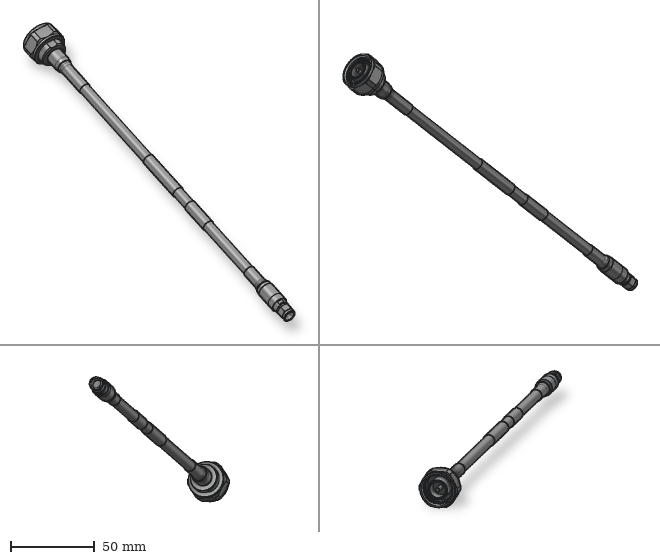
import cadquery as cq


total_length = 265.07
plug_end = 27.6
jack_start = 237.2
left_shrink_end = 49.1
first_marker_start = 116.2
first_marker_end = 147.4
second_marker_start = 160.1
second_marker_end = 179.3
right_shrink_start = 222.4

cable_radius = 3.4
tube_radius = 3.8
tube_wall = tube_radius - cable_radius
flare_radius = 4.25
flare_collar = 1.4
flare_length = 3.0
barrel_radius = 5.25
shoulder_radius = 4.85
shoulder_length = 2.7

ferrule_radius = barrel_radius - tube_wall
ferrule_tip_radius = shoulder_radius - tube_wall
plug_ferrule_tip = plug_end - tube_wall
jack_ferrule_tip = jack_start + tube_wall

nut_length = 12.3
nut_across_flats = 22.0
nut_corner_radius = 11.99
nut_round_radius = nut_across_flats / 2
nut_hex_start = 2.4
nut_hex_end = 10.5
nut_hex_chamfer = 1.0
nut_rim_chamfer = 0.3
nut_bore_radius = 8.8
nut_bore_depth = 10.5
nut_bore_chamfer = 1.0
thread_depth = 0.6
thread_pitch = 1.0
thread_groove_count = 5

outer_contact_radius = 6.2
outer_contact_bore = 4.8
outer_contact_chamfer = 0.4
outer_contact_start = 0.3
outer_contact_bore_depth = 8.0
centre_pin_radius = 1.3
centre_pin_start = 0.5
pin_tip_chamfer = 0.3

flange_end = 17.3
flange_radius = 8.4
flange_bevel_length = 0.9
flange_bevel_depth = 0.4
flange_across_flats = 16.0

jack_ferrule_end = 249.6
jack_barrel_end = 254.4
jack_land_end = 240.3
jack_land_radius = 5.0
jack_flange_radius = 4.35
jack_flange_end = 256.8
jack_ring_end = 257.6
jack_neck_end = 258.7
jack_neck_radius = 4.05
jack_across_flats = 8.0
jack_hex_end = 263.1
tip_radius = 3.85
rim_radius = 4.05
rim_width = 0.3
jack_bore_radius = 3.0
jack_bore_depth = 5.0


def cylinder(start, end, radius):
    """Solid cylinder on the X axis between two positions."""
    return cq.Workplane("YZ", origin=(start, 0, 0)).circle(radius).extrude(end - start)


def revolved(outline):
    """Turn a closed outline of (x, radius) points about the X axis."""
    return cq.Workplane("XY").polyline(outline).close().revolve(360, (0, 0, 0), (1, 0, 0))


def cone(start, end, start_radius, end_radius):
    """Solid cone frustum on the X axis."""
    outline = [(start, 0), (start, start_radius), (end, end_radius), (end, 0)]
    return revolved(outline)


def hexagon(start, end, across_flats):
    """Hexagonal prism with flats facing +Z and -Z."""
    corner_diameter = across_flats / 0.75**0.5
    return cq.Workplane("YZ", origin=(start, 0, 0)).polygon(6, corner_diameter).extrude(end - start)


def with_wrench_flats(disc, start, end, radius, across_flats):
    """Trim a disc to leave two wrench flats facing +Z and -Z."""
    slab = cq.Workplane("XY").box(end - start, 2 * radius, across_flats)
    return disc.intersect(slab.translate(((start + end) / 2, 0, 0)))


def make_ferrule(connector_side, tip, direction):
    """Solid ferrule that tapers to its tip; direction is +1 or -1 along X, towards the tip."""
    taper_start = tip - direction * (shoulder_length - tube_wall)
    outline = [
        (connector_side, 0),
        (connector_side, ferrule_radius),
        (taper_start, ferrule_radius),
        (tip, ferrule_tip_radius),
        (tip, 0),
    ]
    return revolved(outline)


def thread_groove(position):
    """Ring with a V section that cuts one thread groove into the nut bore."""
    outline = [
        (position, nut_bore_radius),
        (position + thread_pitch / 2, nut_bore_radius + thread_depth),
        (position + thread_pitch, nut_bore_radius),
    ]
    return revolved(outline)


def make_nut():
    hex_limit = cylinder(nut_hex_start, nut_hex_end, nut_corner_radius)
    hex_limit = hex_limit.faces(">X").chamfer(nut_hex_chamfer)
    nut = cylinder(0, nut_length, nut_round_radius).faces("<X or >X").chamfer(nut_rim_chamfer)
    nut = nut.union(hexagon(nut_hex_start, nut_hex_end, nut_across_flats).intersect(hex_limit))
    nut = nut.cut(cylinder(0, nut_bore_depth, nut_bore_radius))
    nut = nut.cut(cone(0, nut_bore_chamfer, nut_bore_radius + nut_bore_chamfer, nut_bore_radius))
    for index in range(thread_groove_count):
        nut = nut.cut(thread_groove(nut_bore_chamfer + index * thread_pitch))
    return nut


def make_outer_contact():
    bore_end = outer_contact_start + outer_contact_bore_depth
    contact = cylinder(outer_contact_start, nut_bore_depth, outer_contact_radius)
    contact = contact.cut(cylinder(outer_contact_start, bore_end, outer_contact_bore))
    return contact.faces("<X").chamfer(outer_contact_chamfer)


def make_plug_flange():
    bevel_start = flange_end - flange_bevel_length
    flange = cylinder(nut_length, bevel_start, flange_radius)
    flange = flange.union(cone(bevel_start, flange_end, flange_radius, flange_radius - flange_bevel_depth))
    return with_wrench_flats(flange, nut_length, flange_end, flange_radius, flange_across_flats)


def make_plug():
    centre_pin = cylinder(centre_pin_start, nut_bore_depth, centre_pin_radius)
    centre_pin = centre_pin.faces("<X").chamfer(pin_tip_chamfer)
    ferrule = make_ferrule(flange_end, plug_ferrule_tip, 1)
    plug = make_nut()
    for section in (make_outer_contact(), centre_pin, make_plug_flange(), ferrule):
        plug = plug.union(section)
    return plug


def make_jack_flange():
    flange = cylinder(jack_barrel_end, jack_flange_end, jack_flange_radius)
    return with_wrench_flats(
        flange, jack_barrel_end, jack_flange_end, jack_flange_radius, jack_across_flats
    )


def make_jack():
    jack = make_ferrule(jack_ferrule_end, jack_ferrule_tip, -1)
    for section in (
        cylinder(jack_ferrule_end, jack_barrel_end, jack_flange_radius),
        make_jack_flange(),
        cylinder(jack_flange_end, jack_ring_end, jack_flange_radius),
        cylinder(jack_ring_end, jack_neck_end, jack_neck_radius),
        hexagon(jack_neck_end, jack_hex_end, jack_across_flats),
        cylinder(jack_hex_end, total_length - rim_width, tip_radius),
        cylinder(total_length - rim_width, total_length, rim_radius),
    ):
        jack = jack.union(section)
    return jack.cut(cylinder(total_length - jack_bore_depth, total_length, jack_bore_radius))


def make_cable():
    return cylinder(plug_ferrule_tip, jack_ferrule_tip, cable_radius)


def make_marker(start, end):
    return cylinder(start, end, tube_radius).cut(cylinder(start, end, cable_radius))


def make_shrink(barrel_end, shoulder_end, tube_end, direction):
    """Shrink tube from a connector barrel down to the cable, direction being +1 or -1 along X."""
    outline = [
        (barrel_end, 0),
        (barrel_end, barrel_radius),
        (shoulder_end - direction * shoulder_length, barrel_radius),
        (shoulder_end, shoulder_radius),
        (shoulder_end, flare_radius),
        (shoulder_end + direction * flare_collar, flare_radius),
        (shoulder_end + direction * flare_length, tube_radius),
        (tube_end, tube_radius),
        (tube_end, 0),
    ]
    ferrule_tip = shoulder_end - direction * tube_wall
    ferrule = make_ferrule(barrel_end, ferrule_tip, direction)
    cable_bore = cylinder(min(ferrule_tip, tube_end), max(ferrule_tip, tube_end), cable_radius)
    return revolved(outline).cut(ferrule).cut(cable_bore)


def make_jack_shrink():
    """Shrink tube with a lower land between its shoulder and its barrel."""
    shrink = make_shrink(jack_barrel_end, jack_start, right_shrink_start, -1)
    outside_land = cylinder(jack_start, jack_land_end, barrel_radius)
    outside_land = outside_land.cut(cylinder(jack_start, jack_land_end, jack_land_radius))
    return shrink.cut(outside_land)


plug = make_plug()
jack = make_jack()
cable = make_cable()
plug_shrink = make_shrink(flange_end, plug_end, left_shrink_end, 1)
jack_shrink = make_jack_shrink()
markers = [
    make_marker(first_marker_start, first_marker_end),
    make_marker(second_marker_start, second_marker_end),
]

bodies = [plug, jack, cable, plug_shrink, jack_shrink] + markers
result = cq.Compound.makeCompound([body.val() for body in bodies])